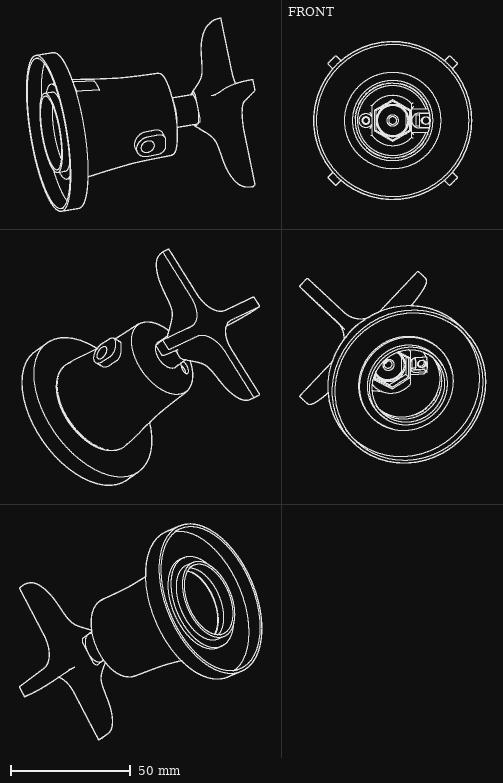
import cadquery as cq
import math


flange_radius = 33.02
flange_height = 7.5
flange_rim_wall = 1.2
flange_floor = 1.4
flange_hole_radius = 38.0 / 2

collar_radius = 20.1
collar_height = 1.6
sleeve_radius = 16.8
sleeve_length = 3.4
ring_bore_radius = 31.2 / 2
ring_seat = flange_height - flange_floor

neck_radius = 20.5
neck_height = 0.8
housing_base = flange_height + neck_height
housing_base_radius = 21.0
waist = 33.1
waist_radius = 18.2
shoulder = 50.25
shoulder_radius = 17.4
shoulder_chamfer_radial = 0.25
shoulder_chamfer_axial = 0.7
dome_top = 53.9
spigot_bore_length = 3.3
cavity_radius = 32.1 / 2
cavity_waist_radius = 15.7
cavity_end = 48.7
cavity_end_radius = 14.65

spindle_radius = 12.6 / 2
spindle_bore_radius = 12.8 / 2
spindle_bore_chamfer = 0.4
spindle_start = 36.0
spindle_flat = 5.6
spindle_flat_length = 6.55
center_hole_radius = 3.3 / 2
center_hole_chamfer = 0.7
center_hole_depth = 8.2
gland_start = 29.45
gland_radius = 10.55
gland_left = -8.6
gland_right = 7.85
root_fillet = 1.1
hex_apothem = 7.0
hex_chamfer = 0.5
hex_depth = 4.9

post_x = -11.17
post_radius = 5.8 / 2
post_start = 42.55
post_tip_fillet = 0.9
post_hole_radius = 2.5 / 2
post_hole_chamfer = 0.3
post_hole_depth = 4.9
dome_hole_radius = 5.3 / 2
dome_hole_floor = 50.2

port_y = 36.9
port_radius = 4.9
port_top = 44.85
port_corner_radius = 3.4
port_end = 21.1
port_end_tilt = 2.9
rib_end = 15.95
rib_root_end = 14.3
pin_bore_radius = 3.2
pin_bore_end = 8.0
window_end = 15.55
pin_head_radius = 5.8 / 2
pin_head_start = 11.3
pin_tip_radius = 4.5 / 2
pin_tip_start = 9.8
pin_hole_x = 13.9
pin_hole_radius = 3.0 / 2
pin_hole_chamfer = 0.5
pin_hole_depth = 2.45

badge_left = -5.7
badge_right = 2.4
badge_start = 11.5
badge_end = 21.4
badge_thickness = 1.2

handle_base = 63.4
handle_top = 81.8
handle_base_reach = 6.4
arm_reach = 36.0
arm_width = 4.8
arm_root_fillet = 11.05
arm_edge_fillet = 0.3


def turned(profile):
    """Revolve a closed (radius, Y) outline about the Y axis."""
    return profile.close().revolve(360, (0, 0, 0), (0, 1, 0))


def across(y, x=0):
    """Workplane square to the Y axis, looking along +Y, with its origin at (x, y, 0)."""
    return cq.Workplane(cq.Plane((x, y, 0), (1, 0, 0), (0, 1, 0)))


def rod(radius, start, end, x=0):
    """Cylinder parallel to Y."""
    return across(start, x).circle(radius).extrude(end - start)


def rod_x(radius, start, end):
    """Cylinder along the axis of the side port."""
    return cq.Workplane("YZ", (start, port_y, 0)).circle(radius).extrude(end - start)


def chamfered_hole(radius, chamfer, start, depth, x=0):
    """Cutter for a blind hole along +Y with a chamfered mouth."""
    hole = rod(radius, start, start + depth, x)
    mouth = cq.Solid.makeCone(
        radius + chamfer, radius, chamfer, cq.Vector(x, start, 0), cq.Vector(0, 1, 0)
    )
    return hole.union(cq.Workplane(mouth))


def make_flange():
    inner_radius = flange_radius - flange_rim_wall
    return turned(
        cq.Workplane()
        .moveTo(inner_radius, 0)
        .lineTo(flange_radius, 0)
        .lineTo(flange_radius, flange_height)
        .lineTo(flange_hole_radius, flange_height)
        .lineTo(flange_hole_radius, ring_seat)
        .lineTo(inner_radius, ring_seat)
    )


def make_retaining_ring():
    collar_start = ring_seat - collar_height
    sleeve_start = collar_start - sleeve_length
    collar = rod(collar_radius, collar_start, ring_seat)
    sleeve = rod(sleeve_radius, sleeve_start, collar_start)
    return collar.union(sleeve).cut(rod(ring_bore_radius, sleeve_start, ring_seat))


def make_housing_envelope():
    """Outer shape of the housing without its cavity."""
    return turned(
        cq.Workplane()
        .moveTo(0, ring_seat)
        .lineTo(flange_hole_radius, ring_seat)
        .lineTo(flange_hole_radius, flange_height)
        .lineTo(neck_radius, flange_height)
        .lineTo(neck_radius, housing_base)
        .lineTo(housing_base_radius, housing_base)
        .spline(
            [(20.95, 10.15), (19.55, 21.3), (waist_radius, waist), (17.7, 42.55), (shoulder_radius, shoulder)],
            includeCurrent=True,
        )
        .lineTo(shoulder_radius - shoulder_chamfer_radial, shoulder + shoulder_chamfer_axial)
        .lineTo(spindle_bore_radius, dome_top)
        .lineTo(0, dome_top)
    )


def make_cavity():
    spigot_bore_end = ring_seat + spigot_bore_length
    return turned(
        cq.Workplane()
        .moveTo(0, ring_seat)
        .lineTo(ring_bore_radius, ring_seat)
        .lineTo(ring_bore_radius, spigot_bore_end)
        .lineTo(cavity_radius, spigot_bore_end)
        .spline([(cavity_waist_radius, waist), (cavity_end_radius, cavity_end)], includeCurrent=True)
        .lineTo(0, cavity_end)
    )


def rooted_in_cap(standing):
    """Join a standing shape to the inner face of the cap with a fillet around its root."""
    cap_radius = shoulder_radius - 0.8
    cap = rod(cap_radius, cavity_end, cavity_end + 0.8)
    on_cap_face = cq.selectors.BoxSelector(
        (-cap_radius - 0.8, cavity_end - 0.1, -cap_radius - 0.8),
        (cap_radius + 0.8, cavity_end + 0.1, cap_radius + 0.8),
        boundingbox=True,
    )
    face_edges = cap.union(standing).edges(on_cap_face)
    root = face_edges.filter(lambda edge: edge.BoundingBox().zlen < 1.9 * cap_radius)
    return root.fillet(root_fillet)


def make_gland():
    """Solid gland: a round bar with one flat on each side."""
    flats = cq.Workplane().box(
        gland_right - gland_left, cavity_end - gland_start, 2 * gland_radius, centered=(False, False, True)
    )
    return rod(gland_radius, gland_start, cavity_end).intersect(flats.translate((gland_left, gland_start, 0)))


def make_hex_pocket():
    """Hexagonal pocket in the gland mouth, with a tapered entry and its corners along Z."""
    corner = 2 / math.sqrt(3)
    small = 2 * hex_apothem * corner
    large = 2 * (hex_apothem + hex_chamfer) * corner
    pocket = across(gland_start).polygon(6, small).extrude(hex_depth)
    entry = across(gland_start).polygon(6, large).workplane(offset=hex_chamfer).polygon(6, small).loft()
    return pocket.union(entry).rotate((0, 0, 0), (0, 1, 0), 30)


def make_spindle_bore():
    floor_y = gland_start + hex_depth
    return chamfered_hole(spindle_bore_radius, spindle_bore_chamfer, floor_y, dome_top - floor_y)


def port_block(end_x, end_y):
    """Boss from the gland to end_x: round toward -Y and straight-sided up to end_y."""
    block = cq.Workplane().box(end_x - gland_right, end_y - port_y, 2 * port_radius, centered=(False, False, True))
    return rod_x(port_radius, gland_right, end_x).union(block.translate((gland_right, port_y, 0)))


def make_port():
    outer = port_block(port_end + port_radius, port_top).faces(">Y").edges("|X").fillet(port_corner_radius)
    return outer.cut(make_port_trim()).union(port_block(rib_end, cavity_end))


def make_rib_root():
    return rooted_in_cap(port_block(rib_root_end, cavity_end))


def make_port_trim():
    """Block beyond the tilted outer end of the port."""
    size = 4 * port_radius
    block = cq.Workplane().box(size, size, size, centered=(False, True, True))
    return block.rotate((0, 0, 0), (0, 0, 1), port_end_tilt).translate((port_end, port_y, 0))


def make_pin_bore():
    """Round-ended bore for the side pin, opened toward -Y inside the housing."""
    end_center = pin_bore_end + pin_bore_radius
    bore = rod_x(pin_bore_radius, end_center, 2 * port_end)
    bore = bore.union(cq.Workplane().sphere(pin_bore_radius).translate((end_center, port_y, 0)))
    window_start = port_y - port_radius
    window = rod(pin_bore_radius, window_start, port_y, end_center)
    window_length = window_end - end_center
    slot = across(window_start, end_center + window_length / 2)
    slot = slot.rect(window_length, 2 * pin_bore_radius).extrude(port_radius)
    return bore.union(window).union(slot)


def make_badge_block():
    """Prism whose overlap with the housing wall is the badge."""
    width = badge_right - badge_left
    block = cq.Workplane().box(width, badge_end - badge_start, housing_base_radius, centered=False)
    return block.translate((badge_left, badge_start, 0))


def make_badge():
    wall = make_housing_envelope().intersect(make_badge_block())
    return wall.cut(wall.translate((0, 0, -badge_thickness)))


def make_housing():
    housing = make_housing_envelope().cut(make_cavity())
    post = rod(post_radius, post_start, cavity_end, post_x).faces("<Y").edges().fillet(post_tip_fillet)
    for part in (rooted_in_cap(make_gland()), rooted_in_cap(post), make_rib_root(), make_port()):
        housing = housing.union(part)
    post_hole = chamfered_hole(post_hole_radius, post_hole_chamfer, post_start, post_hole_depth, post_x)
    dome_hole = rod(dome_hole_radius, dome_hole_floor, dome_top, post_x)
    for cutter in (make_hex_pocket(), make_spindle_bore(), post_hole, dome_hole, make_pin_bore()):
        housing = housing.cut(cutter)
    return housing.cut(make_badge())


def make_spindle():
    spindle = rod(spindle_radius, spindle_start, handle_base)
    flat = cq.Workplane().box(spindle_radius, spindle_flat_length, 2 * spindle_radius, centered=(False, False, True))
    center_hole = chamfered_hole(center_hole_radius, center_hole_chamfer, spindle_start, center_hole_depth)
    return spindle.cut(flat.translate((spindle_flat, spindle_start, 0))).cut(center_hole)


def make_side_pin():
    head = rod_x(pin_head_radius, pin_head_start, port_end + pin_head_radius)
    tip = rod_x(pin_tip_radius, pin_tip_start, pin_head_start)
    hole_start = port_y - pin_head_radius
    hole = chamfered_hole(pin_hole_radius, pin_hole_chamfer, hole_start, pin_hole_depth, pin_hole_x)
    return head.union(tip).cut(make_port_trim()).cut(hole)


def make_arm_profile():
    """Side outline shared by two opposite arms, swept across the full width of the handle."""
    half = (
        cq.Workplane()
        .moveTo(0, handle_base)
        .lineTo(handle_base_reach, handle_base)
        .spline(
            [(8.2, 65.05), (10.3, 67.1), (13.5, 69.55), (17.4, 70.7), (26.75, 72.25), (33.9, 75.9),
             (arm_reach, handle_top)],
            tangents=[(0.8, 1), (0, 1)],
            includeCurrent=True,
        )
        .lineTo(0, handle_top)
        .close()
        .extrude(2 * arm_reach)
        .translate((0, 0, -arm_reach))
    )
    return half.union(half.mirror("YZ"))


def make_handle():
    """Four arms at right angles with filleted inner corners, turned 45 degrees to the X axis."""
    height = handle_top - handle_base
    bar = across(handle_base).rect(2 * arm_reach, arm_width).extrude(height)
    cross = bar.union(bar.rotate((0, 0, 0), (0, 1, 0), 90))
    inner_corners = cq.selectors.BoxSelector(
        (-arm_width, handle_base, -arm_width), (arm_width, handle_top, arm_width)
    )
    cross = cross.edges("|Y").edges(inner_corners).fillet(arm_root_fillet)
    profile = make_arm_profile()
    handle = cross.intersect(profile).intersect(profile.rotate((0, 0, 0), (0, 1, 0), 90))
    curved_edges = handle.edges().filter(
        lambda edge: edge.geomType() != "LINE" and edge.BoundingBox().ylen > 0.8
    )
    return curved_edges.fillet(arm_edge_fillet).rotate((0, 0, 0), (0, 1, 0), 45)


flange = make_flange()
retaining_ring = make_retaining_ring()
housing = make_housing()
badge = make_badge()
spindle = make_spindle()
side_pin = make_side_pin()
handle = make_handle()

result = cq.Compound.makeCompound(
    [body.val() for body in (flange, retaining_ring, housing, badge, spindle, side_pin, handle)]
)